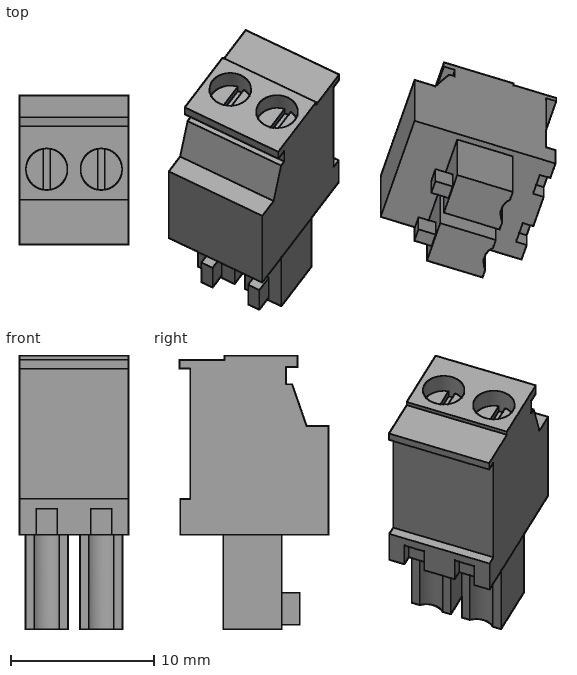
import cadquery as cq

width = 7.62
pole_count = 2
pole_pitch = width / pole_count
depth = 10.4
height = 19.1

body_bottom = 6.59
front_wall = 0.75
lip_front = 0.05
lip_top = 9.1
front_ledge_top = 18.8
front_ledge_bottom = 18.18
top_plate_front = 3.13
top_plate_back = 8.25
top_plate_bottom = 18.3
neck_back = 7.45
neck_bottom = 17.11
slope_top_back = 7.87
slope_bottom_back = 8.88
shoulder_height = 14.2

notch_width = 1.49
notch_height = 1.81
notch_depth = 0.78

leg_width = 2.98
leg_front = 3.05
leg_back = 7.15
groove_width = 1.74
groove_depth = 0.36
tab_width = 0.92
tab_back = 8.4
tab_bottom = 0.3
tab_top = 2.55

screw_radius = 1.45
screw_y = 5.25
screw_recess = 1.45
screw_height = 1.45
slot_width = 0.5
slot_depth = 0.5

screw_top = height - screw_recess
screw_bottom = screw_top - screw_height
pole_positions = [(i - (pole_count - 1) / 2) * pole_pitch for i in range(pole_count)]


def block(x_center, x_size, y_front, y_back, z_bottom, z_top):
    """Box centred at x_center and bounded by the given Y and Z limits."""
    return (
        cq.Workplane("XY")
        .box(x_size, y_back - y_front, z_top - z_bottom, centered=(True, False, False))
        .translate((x_center, y_front, z_bottom))
    )


def make_shell():
    """Stepped side profile extruded across the full width."""
    profile = [
        (lip_front, body_bottom),
        (lip_front, lip_top),
        (front_wall, lip_top),
        (front_wall, front_ledge_bottom),
        (0, front_ledge_bottom),
        (0, front_ledge_top),
        (top_plate_front, front_ledge_top),
        (top_plate_front, height),
        (top_plate_back, height),
        (top_plate_back, top_plate_bottom),
        (neck_back, top_plate_bottom),
        (neck_back, neck_bottom),
        (slope_top_back, neck_bottom),
        (slope_bottom_back, shoulder_height),
        (depth, shoulder_height),
        (depth, body_bottom),
    ]
    return cq.Workplane("YZ").polyline(profile).close().extrude(width / 2, both=True)


def make_leg(x):
    """Leg with an arc groove down its front and a tab on its back."""
    leg = (
        cq.Workplane("XY")
        .moveTo(x - leg_width / 2, leg_front)
        .lineTo(x - groove_width / 2, leg_front)
        .threePointArc((x, leg_front + groove_depth), (x + groove_width / 2, leg_front))
        .lineTo(x + leg_width / 2, leg_front)
        .lineTo(x + leg_width / 2, leg_back)
        .lineTo(x - leg_width / 2, leg_back)
        .close()
        .extrude(body_bottom)
    )
    return leg.union(block(x, tab_width, leg_back, tab_back, tab_bottom, tab_top))


def make_screw_cylinder(x, z_top):
    """Cylinder on a screw axis, from the screw bottom up to z_top."""
    return (
        cq.Workplane("XY", origin=(x, screw_y, screw_bottom))
        .circle(screw_radius)
        .extrude(z_top - screw_bottom)
    )


def make_housing():
    """Shell with a leg, a lip notch and a screw well at each pole."""
    housing = make_shell()
    for x in pole_positions:
        housing = housing.union(make_leg(x))
        notch = block(
            x, notch_width, lip_front, lip_front + notch_depth, body_bottom, body_bottom + notch_height
        )
        housing = housing.cut(notch).cut(make_screw_cylinder(x, height))
    return housing


def make_screw(x):
    """Screw head with a driver slot running along Y."""
    slot = block(
        x, slot_width, screw_y - screw_radius, screw_y + screw_radius, screw_top - slot_depth, screw_top
    )
    return make_screw_cylinder(x, screw_top).cut(slot)


housing = make_housing()
screws = [make_screw(x) for x in pole_positions]

result = cq.Compound.makeCompound([housing.val(), *[screw.val() for screw in screws]])